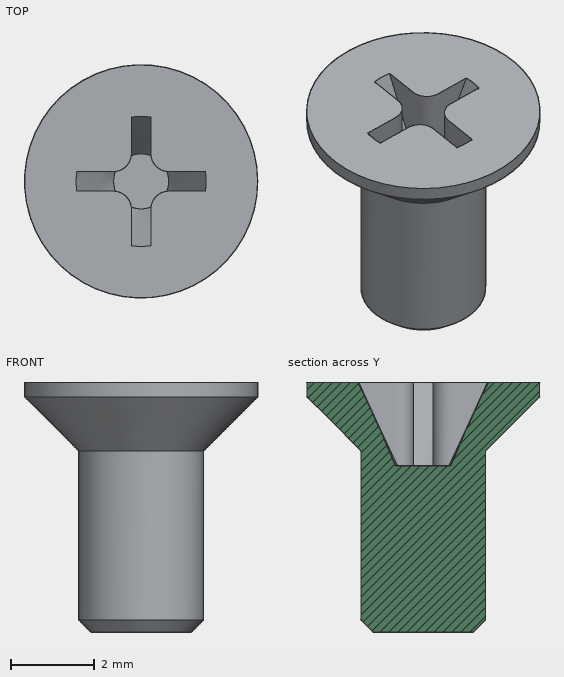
import cadquery as cq

length = 6.0
head_radius = 5.6 / 2
shank_radius = 3.0 / 2
rim_height = 0.35
tip_chamfer = 0.3

recess_top_radius = 1.56
recess_bottom_radius = 0.66
recess_depth = 2.0
slot_width = 0.47
slot_corner_radius = 0.43

cone_height = head_radius - shank_radius
rim_bottom = length - rim_height
cone_bottom = rim_bottom - cone_height


def screw_blank():
    """Countersunk head, shank and chamfered tip, revolved about Z."""
    return (
        cq.Workplane("XZ")
        .lineTo(shank_radius - tip_chamfer, 0)
        .lineTo(shank_radius, tip_chamfer)
        .lineTo(shank_radius, cone_bottom)
        .lineTo(head_radius, rim_bottom)
        .lineTo(head_radius, length)
        .lineTo(0, length)
        .close()
        .revolve(360, (0, 0), (0, 1))
    )


def cross_recess():
    """Cross with rounded inner corners, its arms narrowing with depth inside a cone."""
    floor = length - recess_depth
    slot_length = 2 * recess_top_radius
    cross = (
        cq.Workplane("XY", origin=(0, 0, floor))
        .rect(slot_length, slot_width)
        .extrude(recess_depth)
        .union(
            cq.Workplane("XY", origin=(0, 0, floor))
            .rect(slot_width, slot_length)
            .extrude(recess_depth)
        )
    )
    inner_corners = cq.selectors.BoxSelector(
        (-slot_width, -slot_width, floor), (slot_width, slot_width, length)
    )
    cross = cross.edges("|Z").edges(inner_corners).fillet(slot_corner_radius)
    envelope = cq.Workplane(
        cq.Solid.makeCone(
            recess_bottom_radius,
            recess_top_radius,
            recess_depth,
            pnt=cq.Vector(0, 0, floor),
        )
    )
    return cross.intersect(envelope)


result = screw_blank().cut(cross_recess())